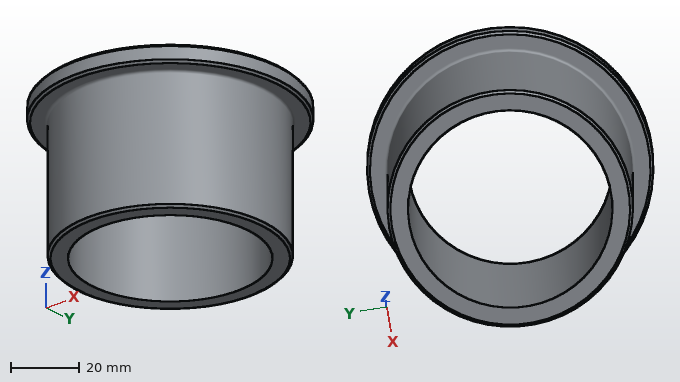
import cadquery as cq

flange_diameter = 84.0
body_diameter = 72.0
bore_diameter = 60.0
total_height = 50.0
flange_thickness = 6.0
edge_chamfer = 0.8
neck_fillet = 0.8

flange_bottom = total_height - flange_thickness

body = cq.Workplane("XY").circle(body_diameter / 2).extrude(total_height)
body = body.faces("<Z").edges().chamfer(edge_chamfer)

flange = (
    cq.Workplane("XY")
    .workplane(offset=flange_bottom)
    .circle(flange_diameter / 2)
    .extrude(flange_thickness)
    .edges()
    .chamfer(edge_chamfer)
)

bushing = body.union(flange)

neck_corner = cq.selectors.RadiusNthSelector(0)
bushing = bushing.edges(cq.selectors.BoxSelector(
    (-body_diameter, -body_diameter, flange_bottom - neck_fillet / 2),
    (body_diameter, body_diameter, flange_bottom + neck_fillet / 2),
)).edges(neck_corner).fillet(neck_fillet)

bore = cq.Workplane("XY").circle(bore_diameter / 2).extrude(total_height)
bushing = bushing.cut(bore)

result = bushing.faces(">Z").edges(cq.selectors.RadiusNthSelector(0)).chamfer(edge_chamfer)